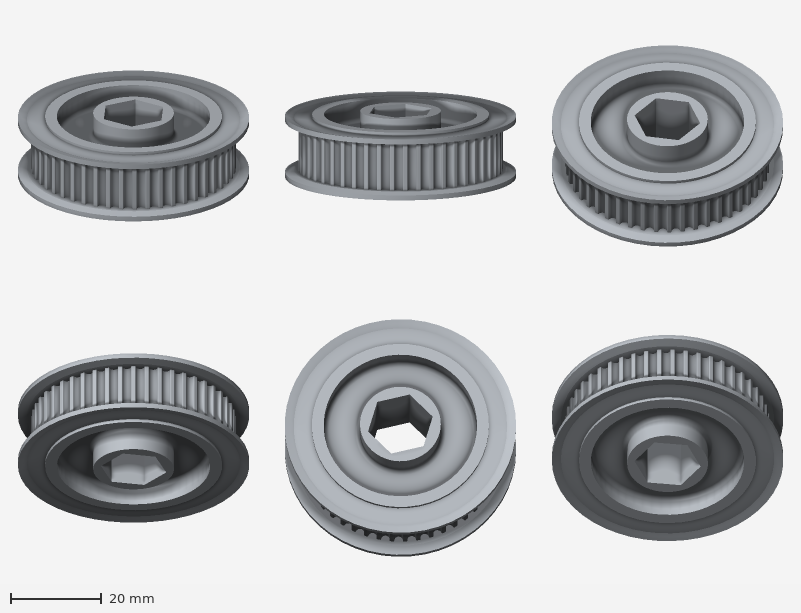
import cadquery as cq
import math

tooth_count = 48
tooth_pitch = 3.0
pitch_line_offset = 0.381
tooth_radius = tooth_count * tooth_pitch / (2 * math.pi) - pitch_line_offset
groove_depth = 1.2
groove_radius = 0.95
tooth_tip_fillet = 0.2
belt_face_width = 10.6

hub_length = 15.88
hub_radius = 8.9
hex_across_flats = 12.7

web_thickness = 4.76
pocket_radius = 16.9
pocket_fillet = 1.0
shoulder_radius = 19.5
shoulder_length = 14.3

flange_radius = 25.5
flange_bend_radius = 23.5
flange_thickness = 1.12
flange_dish = 0.44


def centred_cylinder(radius, length):
    return cq.Workplane("XY").workplane(offset=-length / 2).circle(radius).extrude(length)


def make_groove_cutter():
    """One belt groove on the +X side of the rim: a round root with parallel flanks."""
    root_centre = tooth_radius - groove_depth + groove_radius
    outside = tooth_radius + groove_depth
    return (
        cq.Workplane("XY")
        .workplane(offset=-belt_face_width / 2)
        .moveTo(outside, -groove_radius)
        .lineTo(root_centre, -groove_radius)
        .threePointArc((root_centre - groove_radius, 0), (root_centre, groove_radius))
        .lineTo(outside, groove_radius)
        .close()
        .extrude(belt_face_width)
    )


def make_toothed_rim():
    rim = centred_cylinder(tooth_radius, belt_face_width)
    groove = make_groove_cutter()
    for index in range(tooth_count):
        rim = rim.cut(groove.rotate((0, 0, 0), (0, 0, 1), index * 360 / tooth_count))
    edge_reach = tooth_radius - tooth_tip_fillet / 2
    tips = rim.edges("|Z").filter(lambda edge: math.hypot(edge.Center().x, edge.Center().y) > edge_reach)
    return rim.newObject(tips.vals()).fillet(tooth_tip_fillet)


def make_pocket():
    """Annular pocket above the web, with rounded floor corners."""
    depth = (hub_length - web_thickness) / 2
    return (
        cq.Workplane("XY")
        .workplane(offset=web_thickness / 2)
        .circle(pocket_radius)
        .circle(hub_radius)
        .extrude(depth)
        .faces("<Z")
        .edges()
        .fillet(pocket_fillet)
    )


def make_pulley():
    body = make_toothed_rim()
    body = body.union(centred_cylinder(shoulder_radius, shoulder_length))
    body = body.union(centred_cylinder(hub_radius, hub_length))
    pocket = make_pocket()
    body = body.cut(pocket).cut(pocket.mirror("XY"))
    hex_across_corners = hex_across_flats / math.cos(math.pi / 6)
    hub_end = cq.Workplane("XY").workplane(offset=-hub_length / 2)
    bore = hub_end.polygon(6, hex_across_corners).extrude(hub_length)
    return body.cut(bore)


def make_flange():
    """Upper flange: a flat ring on the shoulder whose outer edge bends away from the belt."""
    inner_face = belt_face_width / 2
    outer_face = inner_face + flange_thickness
    return (
        cq.Workplane("XZ")
        .moveTo(shoulder_radius, inner_face)
        .lineTo(flange_bend_radius, inner_face)
        .lineTo(flange_radius, inner_face + flange_dish)
        .lineTo(flange_radius, outer_face + flange_dish)
        .lineTo(flange_bend_radius, outer_face)
        .lineTo(shoulder_radius, outer_face)
        .close()
        .revolve(360, (0, 0, 0), (0, 1, 0))
    )


pulley = make_pulley()
upper_flange = make_flange()
lower_flange = upper_flange.mirror("XY")

result = cq.Compound.makeCompound([pulley.val(), upper_flange.val(), lower_flange.val()])